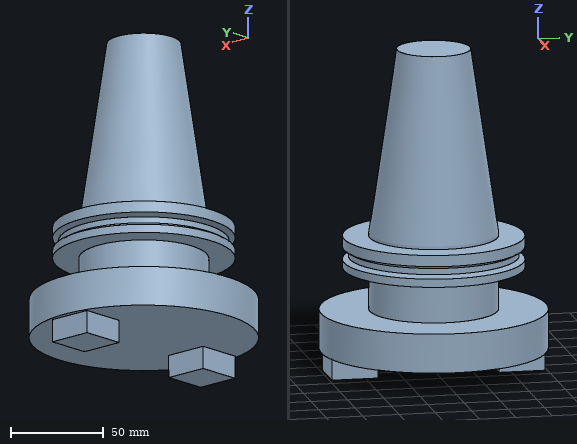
import cadquery as cq

total_height = 177.8
key_height = 12.5
disc_height = 21.7
neck_height = 23.0
collar_height = 17.6
land_height = 1.6

disc_bottom = key_height
disc_top = disc_bottom + disc_height
collar_bottom = disc_top + neck_height
collar_top = collar_bottom + collar_height
taper_bottom = collar_top + land_height

disc_radius = 61.9
neck_radius = 35.0
collar_radius = 49.3
taper_base_radius = 35.0
taper_tip_radius = 20.1

groove_depth = 3.2
groove_floor_height = 3.4
groove_mouth_height = 7.0
groove_offset = 8.0
groove_middle = collar_bottom + groove_offset

key_width = 25.5
key_outer_reach = 58.7
key_inner_reach = 33.2


def make_body():
    """Disc, neck, grooved collar and taper, turned as one profile."""
    groove_radius = collar_radius - groove_depth
    profile = [
        (0, disc_bottom),
        (disc_radius, disc_bottom),
        (disc_radius, disc_top),
        (neck_radius, disc_top),
        (neck_radius, collar_bottom),
        (collar_radius, collar_bottom),
        (collar_radius, groove_middle - groove_mouth_height / 2),
        (groove_radius, groove_middle - groove_floor_height / 2),
        (groove_radius, groove_middle + groove_floor_height / 2),
        (collar_radius, groove_middle + groove_mouth_height / 2),
        (collar_radius, collar_top),
        (taper_base_radius, collar_top),
        (taper_base_radius, taper_bottom),
        (taper_tip_radius, total_height),
        (0, total_height),
    ]
    return cq.Workplane("XZ").polyline(profile).close().revolve(360, (0, 0), (0, 1))


def make_keys():
    """Two opposite drive keys on the Y axis."""
    key_length = key_outer_reach - key_inner_reach
    key_centre = (key_outer_reach + key_inner_reach) / 2
    return (
        cq.Workplane("XY")
        .pushPoints([(0, -key_centre), (0, key_centre)])
        .rect(key_width, key_length)
        .extrude(key_height)
    )


result = make_body().union(make_keys())